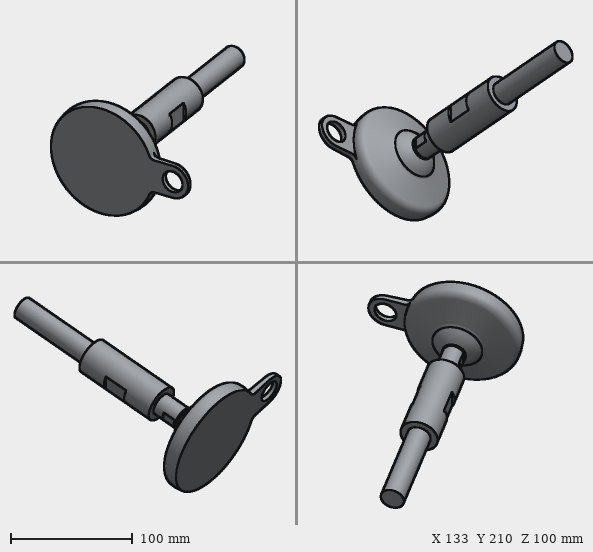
import cadquery as cq
import math

total_length = 210.0

foot_radius = 50.0
sole_radius = 49.2
skirt_height = 5.8
rim_top = 9.0
shoulder_radius = 7.5
cone_angle = math.radians(20)
lip_base = 23.9
lip_height = 1.3
lip_top = lip_base + lip_height

lug_hole_x = 68.0
lug_hole_diameter = 19.0
lug_radius = 15.0
lug_fillet = 5.0
lug_tip_x = lug_hole_x + lug_radius
lug_tip_height = 3.9

dome_radius = 27.0
dome_center_y = 8.8
dome_top = 33.9
rod_radius = 10.0
neck_radius = 9.0
neck_length = 0.4
neck_chamfer = rod_radius - neck_radius
rod_flat_width = 17.0
rod_flat_start = 36.6
rod_flat_length = 12.0

sleeve_radius = 16.0
sleeve_start = 58.5
sleeve_length = 75.5
sleeve_flat_width = 27.0
sleeve_flat_length = 22.0
sleeve_flat_start = sleeve_start + (sleeve_length - sleeve_flat_length) / 2


def dome_section_radius(y):
    """Radius of the spherical dome at height y."""
    return math.sqrt(dome_radius**2 - (y - dome_center_y) ** 2)


def spin(profile):
    """Revolve a closed XY profile around the Y axis."""
    return profile.close().revolve(360, (0, 0, 0), (0, 1, 0))


def along_y(y):
    """Workplane at height y that extrudes towards +Y, with its local x along X."""
    return cq.Workplane(cq.Plane(origin=(0, y, 0), xDir=(1, 0, 0), normal=(0, 1, 0)))


def cut_wrench_flats(body, radius, width, start, length):
    """Cut two parallel flats on the -X and +X sides of a round body."""
    depth = radius - width / 2
    for side in (-1, 1):
        cutter = cq.Workplane("XY").box(2 * depth, length, 2 * radius)
        x = side * (width / 2 + depth)
        body = body.cut(cutter.translate((x, start + length / 2, 0)))
    return body


def make_foot_plate():
    """Tapered skirt disc with the sloping, pierced lug blended into it."""
    skirt = spin(
        cq.Workplane("XY")
        .lineTo(sole_radius, 0)
        .lineTo(foot_radius, skirt_height)
        .lineTo(0, skirt_height)
    )
    lug = (
        along_y(0)
        .moveTo(0, -lug_radius)
        .lineTo(lug_hole_x, -lug_radius)
        .threePointArc((lug_tip_x, 0), (lug_hole_x, lug_radius))
        .lineTo(0, lug_radius)
        .close()
        .extrude(skirt_height)
    )
    plate = skirt.union(lug)

    corner_x = math.sqrt(foot_radius**2 - lug_radius**2)
    for side in (-1, 1):
        corner = cq.selectors.NearestToPointSelector((corner_x, skirt_height / 2, side * lug_radius))
        plate = plate.edges(corner).fillet(lug_fillet)

    slope_cutter = (
        cq.Workplane("XY")
        .moveTo(foot_radius, skirt_height)
        .lineTo(lug_tip_x, lug_tip_height)
        .lineTo(lug_tip_x, skirt_height)
        .close()
        .extrude(lug_radius + lug_fillet, both=True)
    )
    hole = along_y(0).center(lug_hole_x, 0).circle(lug_hole_diameter / 2).extrude(skirt_height)
    return plate.cut(slope_cutter).cut(hole)


def make_foot():
    """Foot plate carrying the rounded rim, the cone and the lip that seats the dome."""
    arc_center_x = foot_radius - shoulder_radius
    half_sweep = (math.pi / 2 - cone_angle) / 2
    cone_start_x = arc_center_x + shoulder_radius * math.sin(cone_angle)
    cone_start_y = rim_top + shoulder_radius * math.cos(cone_angle)
    cone_end_x = cone_start_x - (lip_base - cone_start_y) / math.tan(cone_angle)
    arc_middle = (
        arc_center_x + shoulder_radius * math.cos(half_sweep),
        rim_top + shoulder_radius * math.sin(half_sweep),
    )
    crown = spin(
        cq.Workplane("XY")
        .moveTo(0, skirt_height)
        .lineTo(foot_radius, skirt_height)
        .lineTo(foot_radius, rim_top)
        .threePointArc(arc_middle, (cone_start_x, cone_start_y))
        .lineTo(cone_end_x, lip_base)
        .lineTo(dome_section_radius(lip_top), lip_top)
        .lineTo(0, lip_top)
    )
    return make_foot_plate().union(crown)


def make_spindle():
    """Rod with a chamfered neck on a spherical dome that rests on the foot."""
    neck_top = dome_top + neck_length
    dome_middle_y = (lip_top + dome_top) / 2
    spindle = spin(
        cq.Workplane("XY")
        .moveTo(0, lip_top)
        .lineTo(dome_section_radius(lip_top), lip_top)
        .threePointArc(
            (dome_section_radius(dome_middle_y), dome_middle_y),
            (dome_section_radius(dome_top), dome_top),
        )
        .lineTo(neck_radius, dome_top)
        .lineTo(neck_radius, neck_top)
        .lineTo(rod_radius, neck_top + neck_chamfer)
        .lineTo(rod_radius, total_length)
        .lineTo(0, total_length)
    )
    return cut_wrench_flats(spindle, rod_radius, rod_flat_width, rod_flat_start, rod_flat_length)


def make_sleeve():
    """Round sleeve fitted on the rod, with a pair of wrench flats at mid length."""
    sleeve = along_y(sleeve_start).circle(sleeve_radius).circle(rod_radius).extrude(sleeve_length)
    return cut_wrench_flats(
        sleeve, sleeve_radius, sleeve_flat_width, sleeve_flat_start, sleeve_flat_length
    )


foot = make_foot()
spindle = make_spindle()
sleeve = make_sleeve()

result = cq.Compound.makeCompound([foot.val(), spindle.val(), sleeve.val()])